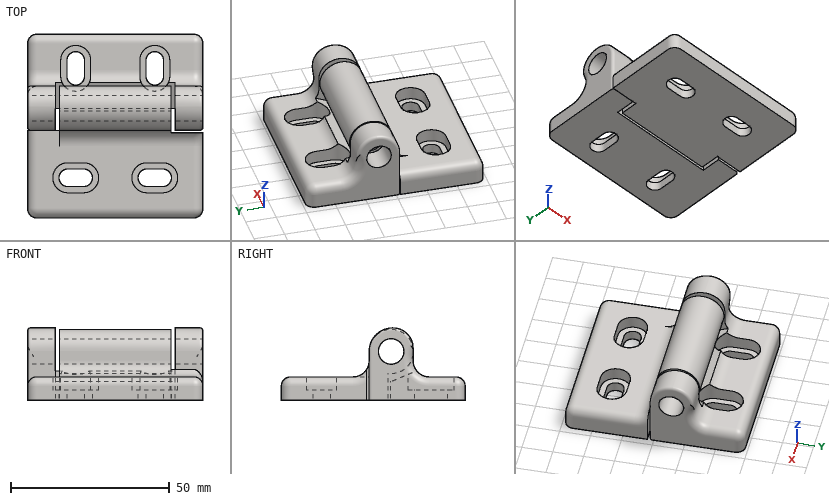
import cadquery as cq
import math

width = 55.5
thickness = 7.5
front_end = -34.77
rear_end = 23.45
edge_radius = 3.0
axis_height = 15.5
pin_diameter = 8.0
knuckle_radius = 7.0
root_radius = 5.0

lug_length = 8.8
lug_height = 23.0
lug_crown_y = 0.5
lug_edge_radius = 1.0
relief_top = (8.1, 9.37)
relief_foot = (-0.13, 5.95)

barrel_gap = 1.25
web_clearance = 0.8
lug_clearance = 0.75

slot_pitch = 25.0
slot_travel = 5.0
slot_width = 5.5
recess_width = 9.5
recess_floor = 3.3
rear_slot_y = 12.6
front_slot_y = -22.0

half_width = width / 2
lug_inner_x = half_width - lug_length
barrel_half = lug_inner_x - barrel_gap
root_end = knuckle_radius + root_radius
root_top = thickness + root_radius
diagonal = math.sqrt(0.5)
root_mid_y = root_end - root_radius * diagonal
root_mid_z = root_top - root_radius * diagonal
round_sweep = 150


def extrude_x(profile, x_start, x_end):
    """Extrude a closed YZ profile from x_start to x_end."""
    return profile.extrude(x_end - x_start).translate((x_start, 0, 0))


def block(x_start, x_end, y_start, y_end, height):
    size = (x_end - x_start, y_end - y_start, height)
    return cq.Workplane("XY").box(*size, centered=False).translate((x_start, y_start, 0))


def rounded_plate(y_start, y_end, outer_side):
    """Plate with rounded outer corners and top edges; outer_side is its free end, '>Y' or '<Y'."""
    inner_side = "<Y" if outer_side == ">Y" else ">Y"
    plate = block(-half_width, half_width, y_start, y_end, thickness)
    plate = plate.edges("|Z and " + outer_side).fillet(edge_radius)
    return plate.faces(">Z").edges("not " + inner_side).fillet(edge_radius)


def pin_bore():
    bore = cq.Workplane("YZ").center(0, axis_height).circle(pin_diameter / 2)
    return extrude_x(bore, -half_width, half_width)


def screw_slots(y, angle):
    """Two through slots, each with a wider recess open to the top."""
    centres = [(-slot_pitch / 2, y), (slot_pitch / 2, y)]
    slots = (
        cq.Workplane("XY").pushPoints(centres)
        .slot2D(slot_travel + slot_width, slot_width, angle).extrude(thickness)
    )
    recesses = (
        cq.Workplane("XY").workplane(offset=recess_floor).pushPoints(centres)
        .slot2D(slot_travel + recess_width, recess_width, angle).extrude(axis_height)
    )
    return slots.union(recesses)


def root_rounding(x_side, y_side):
    """Cutter that carries the plate's edge rounding along the concave blend at one end."""
    outer_x = x_side * half_width
    inner_x = x_side * (half_width - edge_radius)
    arc_x = x_side * (half_width - edge_radius * (1 - diagonal))
    arc_z = -(root_radius + edge_radius * (1 - diagonal))
    section = (
        cq.Workplane("XZ")
        .moveTo(outer_x, -root_radius)
        .lineTo(inner_x, -root_radius)
        .threePointArc((arc_x, arc_z), (outer_x, -root_radius - edge_radius))
        .close()
    )
    cutter = section.revolve(round_sweep, (0, 0, 0), (-y_side, 0, 0))
    return cutter.translate((0, y_side * root_end, root_top))


def lug_block():
    """Full-width knuckle with its concave root, edges rounded over the crown."""
    front_arc = knuckle_radius + lug_crown_y
    rear_arc = knuckle_radius - lug_crown_y
    front_z = lug_height - front_arc
    rear_z = lug_height - rear_arc
    profile = (
        cq.Workplane("YZ")
        .moveTo(-knuckle_radius, 0)
        .lineTo(root_end, 0)
        .lineTo(root_end, thickness)
        .threePointArc((root_mid_y, root_mid_z), (knuckle_radius, root_top))
        .lineTo(knuckle_radius, rear_z)
        .threePointArc(
            (lug_crown_y + rear_arc * diagonal, rear_z + rear_arc * diagonal),
            (lug_crown_y, lug_height),
        )
        .threePointArc(
            (lug_crown_y - front_arc * diagonal, front_z + front_arc * diagonal),
            (-knuckle_radius, front_z),
        )
        .close()
    )
    lug = extrude_x(profile, -half_width, half_width)
    outline = lug.faces("<X or >X").edges("not(<Z or >Y)")
    return outline.fillet(lug_edge_radius)


def barrel_opening():
    """Space between the lugs, with a sloped floor that clears the barrel."""
    profile = (
        cq.Workplane("YZ")
        .moveTo(-knuckle_radius, 0)
        .lineTo(relief_foot[0], 0)
        .lineTo(*relief_foot)
        .lineTo(*relief_top)
        .lineTo(relief_top[0], lug_height)
        .lineTo(-knuckle_radius, lug_height)
        .close()
    )
    return extrude_x(profile, -lug_inner_x, lug_inner_x)


def build_rear_leaf():
    leaf = rounded_plate(root_end, rear_end, ">Y").union(lug_block())
    for x_side in (-1, 1):
        leaf = leaf.cut(root_rounding(x_side, 1))
    leaf = leaf.cut(barrel_opening())
    leaf = leaf.cut(screw_slots(rear_slot_y, 90))
    return leaf.cut(pin_bore())


def root_strip():
    """Concave root in front of the barrel, running out to the right-hand side."""
    profile = (
        cq.Workplane("YZ")
        .moveTo(-root_end, 0)
        .lineTo(-root_end, thickness)
        .threePointArc((-root_mid_y, root_mid_z), (-knuckle_radius, root_top))
        .lineTo(-knuckle_radius, 0)
        .close()
    )
    return extrude_x(profile, -barrel_half, half_width)


def barrel():
    """Barrel around the pin, standing on an upright web."""
    web_back = relief_foot[0] - web_clearance
    web = block(-barrel_half, barrel_half, -knuckle_radius, web_back, axis_height)
    tube = cq.Workplane("YZ").center(0, axis_height).circle(knuckle_radius)
    return extrude_x(tube, -barrel_half, barrel_half).union(web)


def build_front_leaf():
    leaf = rounded_plate(front_end, -knuckle_radius, "<Y").union(root_strip())
    leaf = leaf.cut(root_rounding(1, -1))
    clearance_y = -knuckle_radius - lug_clearance
    leaf = leaf.cut(block(barrel_half, half_width, clearance_y, -knuckle_radius, lug_height))
    leaf = leaf.union(barrel())
    leaf = leaf.cut(screw_slots(front_slot_y, 0))
    return leaf.cut(pin_bore())


rear_leaf = build_rear_leaf()
front_leaf = build_front_leaf()
result = cq.Compound.makeCompound([rear_leaf.val(), front_leaf.val()])